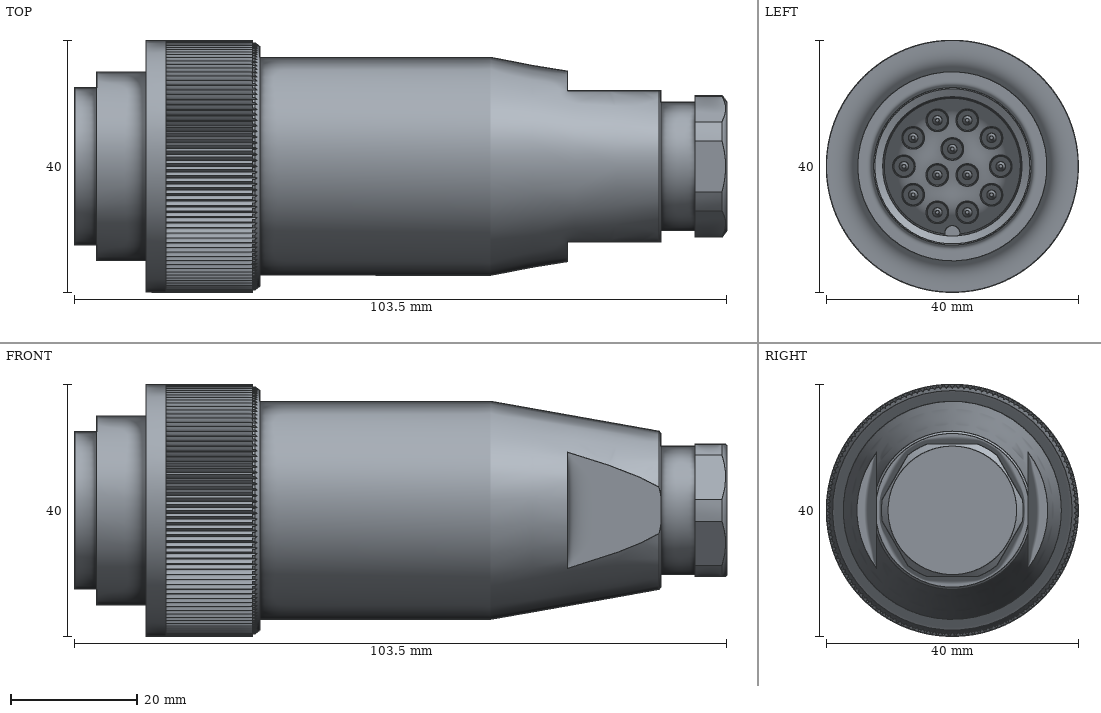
import cadquery as cq
import math

COLLAR_START = 3.5
RING_START = 11.3
KNURL_START = 14.5
KNURL_END = 28.2
RING_END = 29.4
CONE_START = 66.0
FLAT_START = 78.2
CONE_END = 93.0
NUT_START = 98.4
TOTAL_LENGTH = 103.5

SLEEVE_DIA = 25.0
COLLAR_DIA = 30.0
RING_DIA = 40.0
BODY_DIA = 34.6
CONE_END_DIA = 25.0
CONE_END_CHAMFER = 0.3
NECK_DIA = 20.4

TAIL_DIA = 39.2
TAIL_CHAMFER_LENGTH = 0.8
TAIL_CHAMFER_HEIGHT = 0.6

TOOTH_COUNT = 130
TOOTH_DEPTH = 0.65

FLAT_DISTANCE = 24.0

NUT_ACROSS_FLATS = 21.0
NUT_CORNER_DIA = 22.5
NUT_CHAMFER_LENGTH = 0.8

BORE_DIA = 22.1
BORE_DEPTH = 20.0
BORE_FLOOR_DIA = 21.6
BORE_FOOT_LENGTH = 0.5
BORE_MOUTH_DIA = 24.6
BORE_MOUTH_LENGTH = 0.5

PIN_DIA = 1.5
PIN_TIP_START = 4.6
PIN_TIP_LENGTH = 1.2
PIN_TIP_DIA = 0.6
PIN_SEAT_DIA = 3.6
PIN_SEAT_FLOOR_DIA = 3.2
PIN_SEAT_DEPTH = 1.0
OUTER_PIN_COUNT = 10
OUTER_PIN_RADIUS = 7.68
INNER_PIN_COUNT = 3
INNER_PIN_RADIUS = 2.75
INNER_PIN_PHASE = 90.0

KEY_DIA = 2.4
KEY_ROOT_DIA = (BORE_DIA + SLEEVE_DIA) / 2
KEY_START = 0.5
KEY_AXIS_RADIUS = 10.6


def disc(dia, start, end, y=0.0, z=0.0):
    """Cylinder parallel to X between two stations."""
    return cq.Workplane("YZ", origin=(start, y, z)).circle(dia / 2).extrude(end - start)


def taper(start_dia, end_dia, start, end, y=0.0, z=0.0):
    """Truncated cone parallel to X between two stations."""
    height = end - start
    cone = cq.Solid.makeCone(
        start_dia / 2, end_dia / 2, height, cq.Vector(start, y, z), cq.Vector(1, 0, 0)
    )
    return cq.Workplane(obj=cone)


def polar_points(count, radius, phase):
    """Evenly spaced (Y, Z) points on a circle; phase in degrees."""
    angles = [math.radians(phase + 360.0 * i / count) for i in range(count)]
    return [(radius * math.cos(a), radius * math.sin(a)) for a in angles]


def make_body():
    """Mating sleeve, collar and main body, ending in the cable-side cone."""
    body = disc(SLEEVE_DIA, 0, COLLAR_START)
    body = body.union(disc(COLLAR_DIA, COLLAR_START, RING_START))
    body = body.union(disc(BODY_DIA, RING_START, CONE_START))
    return body.union(make_cone())


def make_cone():
    """Cable-side cone with a chamfered end and wrench flats on the +Y and -Y sides."""
    cone = taper(BODY_DIA, CONE_END_DIA, CONE_START, CONE_END)
    cone = cone.faces(">X").chamfer(CONE_END_CHAMFER)
    flat_length = CONE_END - FLAT_START
    for side in (1, -1):
        cut_center = ((FLAT_START + CONE_END) / 2, side * (FLAT_DISTANCE + BODY_DIA) / 2, 0)
        cutter = cq.Workplane("XY").box(flat_length, BODY_DIA, BODY_DIA).translate(cut_center)
        cone = cone.cut(cutter)
    return cone


def make_coupling_ring():
    """Plain rim, then a knurl whose valleys run on into the stepped tail."""
    crests = polar_points(TOOTH_COUNT, RING_DIA / 2, 0)
    valleys = polar_points(TOOTH_COUNT, RING_DIA / 2 - TOOTH_DEPTH, 180.0 / TOOTH_COUNT)
    outline = [point for pair in zip(crests, valleys) for point in pair]
    knurl = cq.Workplane("YZ", origin=(KNURL_START, 0, 0)).polyline(outline).close()
    knurl = knurl.extrude(RING_END - KNURL_START)

    chamfer_start = RING_END - TAIL_CHAMFER_LENGTH
    envelope = disc(RING_DIA + TOOTH_DEPTH, KNURL_START, KNURL_END)
    envelope = envelope.union(disc(TAIL_DIA, KNURL_END, chamfer_start))
    end_dia = TAIL_DIA - 2 * TAIL_CHAMFER_HEIGHT
    envelope = envelope.union(taper(TAIL_DIA, end_dia, chamfer_start, RING_END))
    return disc(RING_DIA, RING_START, KNURL_START).union(knurl.intersect(envelope))


def make_nut():
    """Neck and clamping nut, with its outer end chamfered down to the neck diameter."""
    chamfer_start = TOTAL_LENGTH - NUT_CHAMFER_LENGTH
    corner_to_corner = NUT_ACROSS_FLATS / math.cos(math.radians(30))
    hexagon = cq.Workplane("YZ", origin=(NUT_START, 0, 0)).polygon(6, corner_to_corner)
    hexagon = hexagon.extrude(TOTAL_LENGTH - NUT_START)
    turned = disc(NUT_CORNER_DIA, NUT_START, chamfer_start)
    turned = turned.union(taper(NUT_CORNER_DIA, NECK_DIA, chamfer_start, TOTAL_LENGTH))
    return hexagon.intersect(turned).union(disc(NECK_DIA, CONE_END, TOTAL_LENGTH))


def make_socket():
    """Cavity of the socket: flared mouth, straight bore and tapered foot."""
    foot_start = BORE_DEPTH - BORE_FOOT_LENGTH
    bore = disc(BORE_DIA, 0, foot_start)
    bore = bore.union(taper(BORE_DIA, BORE_FLOOR_DIA, foot_start, BORE_DEPTH))
    return bore.union(taper(BORE_MOUTH_DIA, BORE_DIA, 0, BORE_MOUTH_LENGTH))


def make_key():
    """Round rib along the bottom of the socket, merging into the shell wall."""
    key = disc(KEY_DIA, KEY_START, BORE_DEPTH, z=-KEY_AXIS_RADIUS)
    return key.intersect(disc(KEY_ROOT_DIA, KEY_START, BORE_DEPTH))


def add_contacts(part):
    """Pointed pins, each standing in its own shallow tapered seat."""
    centers = polar_points(OUTER_PIN_COUNT, OUTER_PIN_RADIUS, 0)
    centers += polar_points(INNER_PIN_COUNT, INNER_PIN_RADIUS, INNER_PIN_PHASE)
    seat_floor = BORE_DEPTH + PIN_SEAT_DEPTH
    shank_start = PIN_TIP_START + PIN_TIP_LENGTH
    for y, z in centers:
        part = part.cut(taper(PIN_SEAT_DIA, PIN_SEAT_FLOOR_DIA, BORE_DEPTH, seat_floor, y, z))
        part = part.union(disc(PIN_DIA, shank_start, seat_floor, y, z))
        part = part.union(taper(PIN_TIP_DIA, PIN_DIA, PIN_TIP_START, shank_start, y, z))
    return part


part = make_body().union(make_coupling_ring()).union(make_nut())
part = part.cut(make_socket()).union(make_key())
result = add_contacts(part)